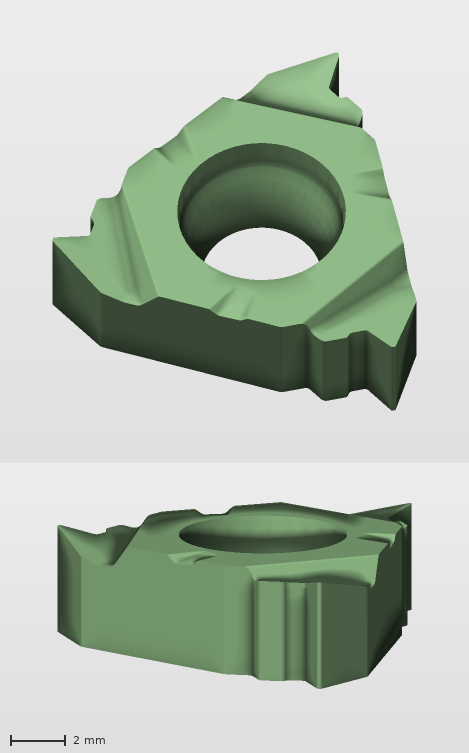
import cadquery as cq
import math

TEETH = 3
THICKNESS = 4.06

FACE_DISTANCE = 4.75
TIP_DISTANCE = 6.93
TOOTH_SIDES = [
    (180, FACE_DISTANCE, 0.25),
    (150, 6.45, 0.11),
    (90, TIP_DISTANCE, 0.11),
    (30, 0.6, 0.16),
    (90, 5.75, 0.2),
    (150, 4.6, 0.16),
    (90, 5.96, 0.25),
    (30, 2.14, 0.23),
    (90, 5.23, 0.27),
]

HOLE_RADIUS = 4.4 / 2
SEAT_TOP_RADIUS = 3.08
SEAT_CONE_RADIUS = 2.95
SEAT_CONE_DEPTH = 0.95
SEAT_BLEND_DEPTH = 1.19
SEAT_CURVE_RADIUS = 4.28
SEAT_CURVE_END_DEPTH = 3.52

RAKE_ANGLE = 15.0
TIP_DEPTH = 0.087
POCKET_FLOOR_DEPTH = 0.92
WALL_FACING = 122.2
WALL_DISTANCE = 4.6
WALL_LEAN = 34.5
WALL_FOOT_RADIUS = 0.33
WALL_LIP_RADIUS = 0.15
POCKET_HALF_LENGTH = 5.08
POCKET_REACH = 9.36

NOTCH_DEPTH = 0.247
NOTCH_LENGTH = 1.32
NOTCH_FLOOR_WIDTH = 0.64
NOTCH_SIDE_LEAN = 50.0
NOTCH_FOOT_RADIUS = 0.3
NOTCH_LIP_RADIUS = 0.17
NOTCH_OFFSET = -0.24
NOTCH_TURN = -13.0

CLEARANCE = 0.8


def unit(angle):
    """Direction in the XY plane at an angle in degrees."""
    return cq.Vector(math.cos(math.radians(angle)), math.sin(math.radians(angle)), 0)


def tan(angle):
    """Tangent of an angle in degrees."""
    return math.tan(math.radians(angle))


def meeting_point(side, other):
    """Corner where two outline sides would meet without rounding."""
    n1, n2 = unit(side[0]), unit(other[0])
    turn = n1.x * n2.y - n1.y * n2.x
    x = (side[1] * n2.y - other[1] * n1.y) / turn
    y = (n1.x * other[1] - n2.x * side[1]) / turn
    return cq.Vector(x, y, 0)


def rounded_corner(side, following):
    """Start, middle and end of the arc that rounds the corner after a side."""
    corner = meeting_point(side, following)
    turn = math.radians((following[0] - side[0] + 180) % 360 - 180)
    radius = side[2]
    setback = radius * math.tan(abs(turn) / 2)
    start = corner - unit(side[0] - 90) * setback
    end = corner + unit(following[0] - 90) * setback
    bisector = (unit(side[0]) + unit(following[0])).normalized()
    gap = radius * (1 / math.cos(turn / 2) - 1)
    is_convex = turn < 0
    middle = corner - bisector * (gap if is_convex else -gap)
    return start, middle, end


def make_blank():
    """Full-height body with the outline of all three teeth."""
    sides = [
        (facing - 360 / TEETH * tooth, distance, radius)
        for tooth in range(TEETH)
        for facing, distance, radius in TOOTH_SIDES
    ]
    arcs = [rounded_corner(side, sides[(i + 1) % len(sides)]) for i, side in enumerate(sides)]
    outline = cq.Workplane("XY").moveTo(*arcs[-1][2].toTuple()[:2])
    for start, middle, end in arcs:
        outline = outline.lineTo(start.x, start.y)
        outline = outline.threePointArc((middle.x, middle.y), (end.x, end.y))
    return outline.close().extrude(THICKNESS)


def make_screw_seat():
    """Slightly conical mouth, a blend, then a convex curve running into the hole."""
    curve_centre = HOLE_RADIUS + SEAT_CURVE_RADIUS

    def curve_point(depth):
        """Radius and height of the convex curve at a depth below the top face."""
        rise = SEAT_CURVE_END_DEPTH - depth
        return curve_centre - math.sqrt(SEAT_CURVE_RADIUS**2 - rise**2), -depth

    middle_depth = (SEAT_BLEND_DEPTH + SEAT_CURVE_END_DEPTH) / 2
    return (
        cq.Workplane("XZ", origin=(0, 0, THICKNESS))
        .lineTo(SEAT_TOP_RADIUS, 0)
        .lineTo(SEAT_CONE_RADIUS, -SEAT_CONE_DEPTH)
        .tangentArcPoint(curve_point(SEAT_BLEND_DEPTH), relative=False)
        .threePointArc(curve_point(middle_depth), (HOLE_RADIUS, -SEAT_CURVE_END_DEPTH))
        .lineTo(HOLE_RADIUS, -THICKNESS)
        .lineTo(0, -THICKNESS)
        .close()
        .revolve(360, (0, 0, 0), (0, 1, 0))
    )


def make_chip_pocket():
    """Space above the sloping rake face, bounded towards the bore by a leaning wall."""
    floor_end = TIP_DISTANCE - (POCKET_FLOOR_DEPTH - TIP_DEPTH) / tan(RAKE_ANGLE)
    rake_end_height = (POCKET_REACH - TIP_DISTANCE) * tan(RAKE_ANGLE) - TIP_DEPTH
    above_rake = (
        cq.Workplane(cq.Plane((0, 0, THICKNESS), xDir=(0, 1, 0), normal=(1, 0, 0)))
        .moveTo(0, CLEARANCE)
        .lineTo(0, -POCKET_FLOOR_DEPTH)
        .lineTo(floor_end, -POCKET_FLOOR_DEPTH)
        .lineTo(POCKET_REACH, rake_end_height)
        .lineTo(POCKET_REACH, CLEARANCE)
        .close()
        .extrude(POCKET_REACH, both=True)
    )

    outward = unit(WALL_FACING)
    across = cq.Plane((0, 0, THICKNESS), xDir=outward, normal=unit(WALL_FACING - 90))
    wall_bottom = 2 * POCKET_FLOOR_DEPTH
    beyond_wall = (
        cq.Workplane(across)
        .moveTo(WALL_DISTANCE - CLEARANCE * tan(WALL_LEAN), CLEARANCE)
        .lineTo(WALL_DISTANCE + wall_bottom * tan(WALL_LEAN), -wall_bottom)
        .lineTo(POCKET_REACH, -wall_bottom)
        .lineTo(POCKET_REACH, CLEARANCE)
        .close()
        .extrude(POCKET_HALF_LENGTH, both=True)
    )

    lean = math.radians(WALL_LEAN)
    lip_turn = math.pi / 2 - lean
    lip_setback = WALL_LIP_RADIUS * math.tan(lip_turn / 2)
    lip_start = WALL_DISTANCE - lip_setback
    lip_middle = (
        lip_start + WALL_LIP_RADIUS * math.sin(lip_turn / 2),
        WALL_LIP_RADIUS * (math.cos(lip_turn / 2) - 1),
    )
    lip_end = (WALL_DISTANCE + lip_setback * math.sin(lean), -lip_setback * math.cos(lean))
    lip = (
        cq.Workplane(across)
        .moveTo(lip_start, CLEARANCE)
        .lineTo(lip_start, 0)
        .threePointArc(lip_middle, lip_end)
        .lineTo(lip_end[0], CLEARANCE)
        .close()
        .extrude(POCKET_HALF_LENGTH, both=True)
    )

    foot_zone = cq.selectors.BoxSelector(
        (-TIP_DISTANCE, 0, THICKNESS - POCKET_FLOOR_DEPTH - CLEARANCE),
        (0, TIP_DISTANCE, THICKNESS - POCKET_FLOOR_DEPTH / 3),
    )
    pocket = above_rake.intersect(beyond_wall).edges(foot_zone).fillet(WALL_FOOT_RADIUS)
    return pocket.union(lip)


def make_notch():
    """Trapezoidal groove that runs out to nothing towards the bore."""
    slope = NOTCH_DEPTH / NOTCH_LENGTH
    inward = unit(NOTCH_TURN)
    run = (inward + cq.Vector(0, 0, slope)).normalized()
    start = cq.Vector(-FACE_DISTANCE, NOTCH_OFFSET, THICKNESS - NOTCH_DEPTH)
    plane = cq.Plane(start, xDir=unit(NOTCH_TURN + 90), normal=run)
    half_floor = NOTCH_FLOOR_WIDTH / 2 + NOTCH_FOOT_RADIUS * tan((90 - NOTCH_SIDE_LEAN) / 2)
    half_top = half_floor + CLEARANCE * tan(NOTCH_SIDE_LEAN)
    return (
        cq.Workplane(plane)
        .moveTo(-half_floor, 0)
        .lineTo(half_floor, 0)
        .lineTo(half_top, CLEARANCE)
        .lineTo(-half_top, CLEARANCE)
        .close()
        .extrude(NOTCH_LENGTH * 2, both=True)
        .edges(cq.selectors.ParallelDirSelector(run))
        .edges("<Z")
        .fillet(NOTCH_FOOT_RADIUS)
    )


def round_notch_lips(body):
    """Round the long upper edges of the notch in the -X body face."""
    top_zone = cq.selectors.BoxSelector(
        (-FACE_DISTANCE + NOTCH_LIP_RADIUS, -NOTCH_LENGTH, THICKNESS - NOTCH_LIP_RADIUS / 2),
        (-SEAT_TOP_RADIUS, NOTCH_LENGTH, THICKNESS + NOTCH_LIP_RADIUS / 2),
    )
    return body.edges(top_zone).fillet(NOTCH_LIP_RADIUS)


result = make_blank().cut(make_screw_seat())
chip_pocket = make_chip_pocket()
notch = make_notch()
for _ in range(TEETH):
    result = round_notch_lips(result.cut(notch)).cut(chip_pocket)
    result = result.rotate((0, 0, 0), (0, 0, 1), 360 / TEETH)